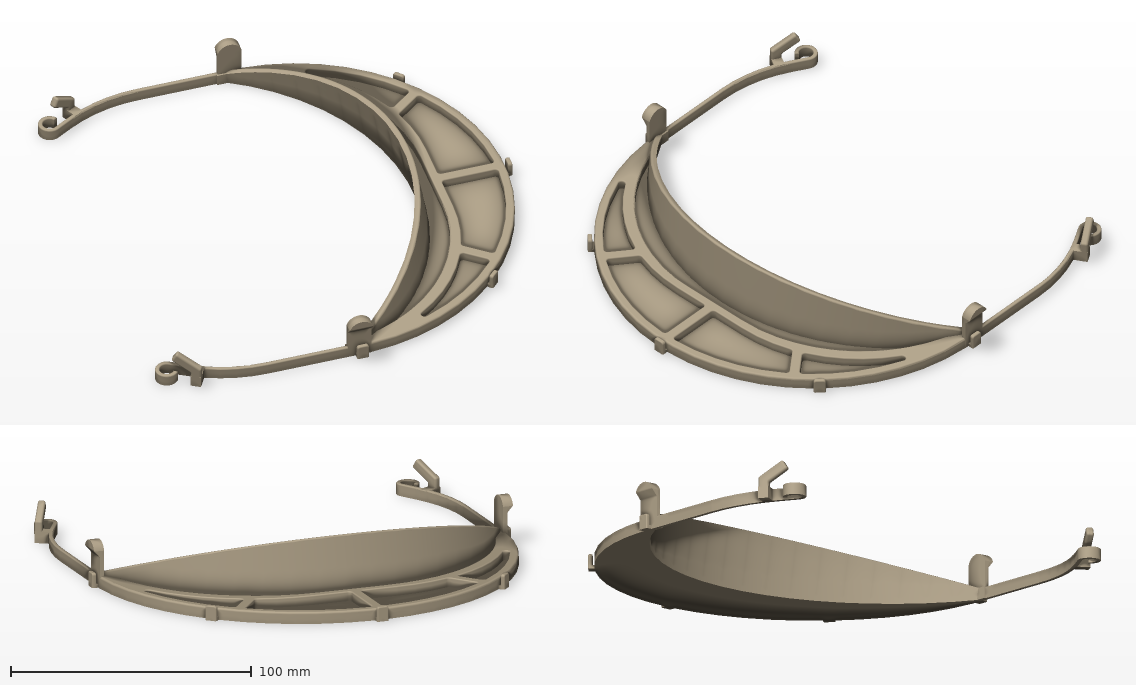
import cadquery as cq
import math

half_width = 93.6
brim_radius = 91.0
frame_height = 5.0
arm_thickness = 1.9
edge_round = 1.0
fine_edge_round = 0.5
arm_inner_x = brim_radius - arm_thickness

floor_thickness = 1.0
pocket_outer_radius = 87.2
pocket_inner_y = 62.7
pocket_flat_half = 18.7
pocket_inner_radius = 71.5
groove_y = 59.0
groove_flat_half = 15.0
groove_radius = 72.5
rib_width = 4.3
side_rib_angle = 38.2
pocket_corner_radius = 1.5

wall_lean = 10.0
wall_slope = 22.0
wall_outer_radius = 104.0
wall_thickness = 2.6
wall_outer_y = 52.0
wall_peak_y = 48.3
wall_peak_z = 25.6
wall_back_y = -9.4

hook_thickness = 1.9
hook_width = 5.0
hook_height = 6.4
hook_foot_height = 1.5
hook_corner_radius = 1.1
hook_angles = (0, 45, 90, 135, 180)

tab_y = -0.7
tab_width = 10.3
tab_height = 20.0
tab_dome_rise = 3.7
tab_head_z = 16.5
tab_slope_z = 13.5

pad_thickness = 0.7
pad_length = 6.4

bend_start_y = -40.6
bend_angle = 30.0
ring_x = -80.9
ring_y = -81.6
ring_radius = 4.9
ring_hole_radius = ring_radius - arm_thickness
ring_end_angle = 125.0

tongue_outer = -2.6
tongue_width = 3.2
tongue_depth = 4.5
tongue_start = -15.2
tongue_end = -2.2
tongue_bend_z = 6.7
tongue_rise_angle = 32.0
tongue_edge_round = 1.0

cutter_size = 374.5


def mirrored_pair(solid):
    return solid.union(solid.mirror("YZ"))


def flat_topped_curve(top_y, flat_half, radius, height):
    """Prism below a flat top that rolls off into a quarter arc on each side."""
    center_y = top_y - radius
    return (
        cq.Workplane("XY")
        .moveTo(-flat_half - radius, center_y)
        .radiusArc((-flat_half, top_y), radius)
        .lineTo(flat_half, top_y)
        .radiusArc((flat_half + radius, center_y), radius)
        .close()
        .extrude(height)
    )


def leaning_cylinder(radius):
    """Cylinder on the leaning axis of the forehead wall."""
    lean = math.radians(wall_lean)
    plane = cq.Plane(
        origin=(0, wall_outer_y - wall_outer_radius, 0),
        xDir=(1, 0, 0),
        normal=(0, -math.sin(lean), math.cos(lean)),
    )
    return cq.Workplane(plane).circle(radius).extrude(cutter_size / 2, both=True)


def between_arms():
    return cq.Workplane("XY").rect(2 * arm_inner_x, cutter_size).extrude(cutter_size)


def pockets():
    region = cq.Workplane("XY").circle(pocket_outer_radius).extrude(frame_height)
    region = region.cut(
        flat_topped_curve(pocket_inner_y, pocket_flat_half, pocket_inner_radius, frame_height)
    )
    lower = cq.Workplane("XY").rect(cutter_size, cutter_size / 2).extrude(frame_height)
    region = region.cut(lower.translate((0, -cutter_size / 4, 0)))
    for angle in (-side_rib_angle, 0, side_rib_angle):
        rib = cq.Workplane("XY").rect(rib_width, cutter_size).extrude(frame_height)
        region = region.cut(rib.rotate((0, 0, 0), (0, 0, 1), angle))
    region = region.edges("|Z").fillet(pocket_corner_radius)
    return region.translate((0, 0, floor_thickness))


def groove():
    curve = flat_topped_curve(groove_y, groove_flat_half, groove_radius, frame_height)
    return curve.translate((0, 0, floor_thickness))


def brim():
    """Half disc with rounded rim, pockets and groove."""
    disc = cq.Workplane("XY").circle(brim_radius).extrude(frame_height)
    disc = disc.faces(">Z").edges().fillet(edge_round)
    disc = disc.cut(pockets()).cut(groove())
    everything = cq.selectors.BoxSelector(
        (-cutter_size, -cutter_size, -cutter_size), (cutter_size, cutter_size, cutter_size)
    )
    rim = cq.selectors.RadiusNthSelector(-1)
    recess_edges = cq.selectors.SubtractSelector(everything, rim)
    disc = disc.faces(">Z").edges(recess_edges).fillet(fine_edge_round)
    front_half = cq.Workplane("XY").rect(cutter_size, cutter_size / 2).extrude(frame_height)
    return disc.intersect(front_half.translate((0, cutter_size / 4, 0)))


def hook():
    root_x = brim_radius - edge_round
    upright_x = half_width - hook_thickness
    body = (
        cq.Workplane("XZ")
        .moveTo(root_x, 0)
        .lineTo(half_width, 0)
        .lineTo(half_width, hook_height)
        .lineTo(upright_x, hook_height)
        .lineTo(upright_x, hook_foot_height)
        .lineTo(root_x, hook_foot_height)
        .close()
        .extrude(hook_width / 2, both=True)
    )
    body = body.edges("|X and >Z").fillet(hook_corner_radius)
    return body.faces(">Z").edges().fillet(fine_edge_round)


def tab():
    """Upright plate with a thicker head and a domed top."""
    margin = 0.2
    head_underside = cq.selectors.BoxSelector(
        (-half_width - margin, -1.9, tab_slope_z - margin),
        (-brim_radius + margin, 1.9, tab_head_z + margin),
    )
    plate = (
        cq.Workplane("XZ")
        .moveTo(-arm_inner_x, 0)
        .lineTo(-arm_inner_x, tab_height)
        .lineTo(-half_width, tab_height)
        .lineTo(-half_width, tab_head_z)
        .lineTo(-brim_radius, tab_slope_z)
        .lineTo(-brim_radius, 0)
        .close()
        .extrude(tab_width / 2, both=True)
        .edges(head_underside)
        .fillet(edge_round)
    )
    shoulder_z = tab_height - tab_dome_rise
    dome = (
        cq.Workplane("YZ")
        .moveTo(-tab_width / 2, 0)
        .lineTo(tab_width / 2, 0)
        .lineTo(tab_width / 2, shoulder_z)
        .threePointArc((0, tab_height), (-tab_width / 2, shoulder_z))
        .close()
        .extrude(cutter_size, both=True)
    )
    return plate.intersect(dome).translate((0, tab_y, 0))


def along_clip(across, along):
    """Point at a distance across and along the straight end of the arm, from the ring centre."""
    angle = math.radians(bend_angle)
    x = ring_x + across * math.cos(angle) + along * math.sin(angle)
    y = ring_y + across * math.sin(angle) - along * math.cos(angle)
    return (x, y)


def arm():
    """Straight arm, inward bend and straight end running into an open ring."""
    angle = math.radians(bend_angle)
    reach = (-brim_radius - ring_x) * math.cos(angle) + (bend_start_y - ring_y) * math.sin(angle)
    bend_radius = (reach - ring_hole_radius) / (1 - math.cos(angle))
    inner_radius = bend_radius - arm_thickness
    bend_x = -brim_radius + bend_radius
    end_angle = math.radians(ring_end_angle)
    halfway = math.radians((bend_angle + ring_end_angle - 360) / 2)

    def on_bend(radius, turn):
        return (bend_x - radius * math.cos(turn), bend_start_y - radius * math.sin(turn))

    def on_ring(radius, direction):
        return (ring_x + radius * math.cos(direction), ring_y + radius * math.sin(direction))

    return (
        cq.Workplane("XY")
        .moveTo(-brim_radius, 0)
        .lineTo(-brim_radius, bend_start_y)
        .threePointArc(on_bend(bend_radius, angle / 2), on_bend(bend_radius, angle))
        .lineTo(*on_ring(ring_hole_radius, angle))
        .threePointArc(on_ring(ring_hole_radius, halfway), on_ring(ring_hole_radius, end_angle))
        .lineTo(*on_ring(ring_radius, end_angle))
        .threePointArc(on_ring(ring_radius, halfway), on_ring(ring_radius, angle))
        .lineTo(*on_bend(inner_radius, angle))
        .threePointArc(on_bend(inner_radius, angle / 2), on_bend(inner_radius, 0))
        .lineTo(-arm_inner_x, 0)
        .close()
        .extrude(frame_height)
        .faces(">Z")
        .edges()
        .fillet(fine_edge_round)
    )


def tongue():
    """Upright stem that bends over and rises toward the ring."""
    rise = math.radians(tongue_rise_angle)
    angle = math.radians(bend_angle)
    plane = cq.Plane(
        origin=(*along_clip(tongue_outer + tongue_width, 0), 0),
        xDir=(math.sin(angle), -math.cos(angle), 0),
        normal=(-math.cos(angle), -math.sin(angle), 0),
    )
    stem_end = tongue_start + tongue_depth
    tip_z = tongue_bend_z + (tongue_end - stem_end) * math.tan(rise)
    upper_tip_x = tongue_end - tongue_depth * math.sin(rise)
    upper_tip_z = tip_z + tongue_depth * math.cos(rise)
    upper_bend_z = upper_tip_z - (upper_tip_x - tongue_start) * math.tan(rise)
    return (
        cq.Workplane(plane)
        .polyline([
            (tongue_start, 0),
            (stem_end, 0),
            (stem_end, tongue_bend_z),
            (tongue_end, tip_z),
            (upper_tip_x, upper_tip_z),
            (tongue_start, upper_bend_z),
        ])
        .close()
        .extrude(tongue_width)
        .faces("not <Z")
        .edges("not <Z")
        .fillet(tongue_edge_round)
    )


def clip_bridge():
    """Block joining the arm to the stem of the tongue."""
    bridge_end = tongue_start + tongue_depth
    corners = [
        along_clip(tongue_outer, tongue_start),
        along_clip(ring_radius, tongue_start),
        along_clip(ring_radius, bridge_end),
        along_clip(tongue_outer, bridge_end),
    ]
    return cq.Workplane("XY").polyline(corners).close().extrude(frame_height)


def forehead_wall():
    slope = math.tan(math.radians(wall_slope))
    below_slope = (
        cq.Workplane("YZ")
        .polyline([
            (-cutter_size, 0),
            (cutter_size, 0),
            (cutter_size, wall_peak_z + slope * (cutter_size - wall_peak_y)),
            (wall_peak_y - wall_peak_z / slope, 0),
        ])
        .close()
        .extrude(cutter_size, both=True)
    )
    solid = leaning_cylinder(wall_outer_radius).intersect(below_slope).intersect(between_arms())
    solid = solid.edges("%ELLIPSE").edges(">Z").fillet(edge_round)
    shell = solid.cut(leaning_cylinder(wall_outer_radius - wall_thickness))
    front = cq.Workplane("XY").box(cutter_size, cutter_size, cutter_size)
    return shell.intersect(front.translate((0, cutter_size / 2 + wall_back_y, 0)))


def arm_pad():
    pad = cq.Workplane("XY").box(pad_thickness, pad_length, frame_height, centered=False)
    pad = pad.translate((-arm_inner_x, -pad_length, 0))
    return pad.cut(forehead_wall())


def frame():
    body = brim().cut(leaning_cylinder(wall_outer_radius).intersect(between_arms()))
    for angle in hook_angles:
        body = body.union(hook().rotate((0, 0, 0), (0, 0, 1), angle))
    for side_part in (arm(), arm_pad(), tab(), clip_bridge(), tongue()):
        body = body.union(mirrored_pair(side_part))
    return body


result = cq.Compound.makeCompound([frame().val(), forehead_wall().val()])